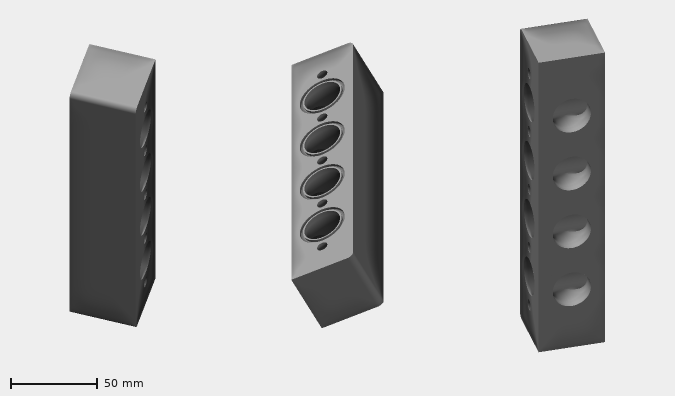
import cadquery as cq

width = 40.0
depth = 40.0
height = 200.0
edge_radius = 3.5

pitch = 40.0
port_count = 4
bore_diameter = 23.0

groove_outer_diameter = 29.0
groove_inner_diameter = 25.0
groove_depth = 1.5

pin_hole_diameter = 6.5


def row_heights(count):
    """Heights of a row of features centred on the block."""
    return [(i - (count - 1) / 2) * pitch for i in range(count)]


def left_face(z):
    """Workplane on the -X face at height z, pointing into the block."""
    return cq.Workplane("YZ", origin=(-width / 2, 0, z))


def through_hole(z, diameter):
    """Plain hole running right through the block along X."""
    return left_face(z).circle(diameter / 2).extrude(width)


def cross_bore(z):
    """Bore from the +Y face to the axis of the through bore."""
    face = cq.Workplane("XZ", origin=(0, depth / 2, z))
    return face.circle(bore_diameter / 2).extrude(depth / 2)


def seal_groove(z):
    """Shallow ring cut into the -X face around a bore."""
    outer = left_face(z).circle(groove_outer_diameter / 2)
    return outer.circle(groove_inner_diameter / 2).extrude(groove_depth)


result = cq.Workplane("XY").box(width, depth, height)
result = result.faces("<Y").edges("|X").fillet(edge_radius)

for z in row_heights(port_count):
    result = result.cut(through_hole(z, bore_diameter))
    result = result.cut(cross_bore(z))
    result = result.cut(seal_groove(z))

for z in row_heights(port_count + 1):
    result = result.cut(through_hole(z, pin_hole_diameter))